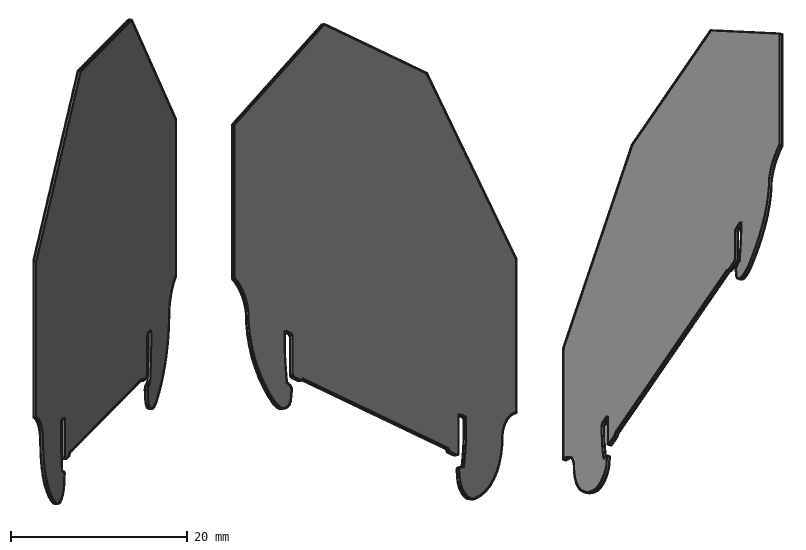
import cadquery as cq

thickness = 0.35
width = 54.5
height = 49.0
half_width = width / 2
corner_chamfer = 17.35
shoulder_z = 13.0

leg_top = (24.6, 9.6)
shoulder_arc_middle = (25.45, 11.65)
leg_arc_middle = (22.85, 3.6)
leg_arc_end = (19.25, 0.2)
hook_tip = (18.35, 0.0)
hook_arc_middle = (16.8, 0.7)
hook_arc_end = (16.3, 2.25)
lip_nose = (16.15, 2.9)
lip_top = (16.4, 3.2)
lip_root = (17.1, 3.45)
inner_arc_middle = (17.4, 5.4)

slot_inner = 16.1
slot_outer = 17.55
slot_top = 9.6
slot_straight_z = 7.8
slot_radius = 0.3

base_z = 4.8
foot_z = 4.45
foot_inner = 14.4
foot_slope_run = 0.3
foot_radius = 0.45


def half_profile():
    """Outline of one half of the plate, from its centre plane to +Y."""
    return (
        cq.Workplane("YZ")
        .moveTo(0, base_z)
        .lineTo(0, height)
        .lineTo(half_width - corner_chamfer, height)
        .lineTo(half_width, height - corner_chamfer)
        .lineTo(half_width, shoulder_z)
        .threePointArc(shoulder_arc_middle, leg_top)
        .threePointArc(leg_arc_middle, leg_arc_end)
        .lineTo(*hook_tip)
        .threePointArc(hook_arc_middle, hook_arc_end)
        .lineTo(*lip_nose)
        .lineTo(*lip_top)
        .lineTo(*lip_root)
        .threePointArc(inner_arc_middle, (slot_outer, slot_straight_z))
        .lineTo(slot_outer, slot_top - slot_radius)
        .radiusArc((slot_outer - slot_radius, slot_top), -slot_radius)
        .lineTo(slot_inner + slot_radius, slot_top)
        .radiusArc((slot_inner, slot_top - slot_radius), -slot_radius)
        .lineTo(slot_inner, foot_z + foot_radius)
        .radiusArc((slot_inner - foot_radius, foot_z), foot_radius)
        .lineTo(foot_inner, foot_z)
        .lineTo(foot_inner - foot_slope_run, base_z)
        .close()
    )


half_plate = half_profile().extrude(thickness / 2, both=True)
result = half_plate.union(half_plate.mirror("XZ")).clean()